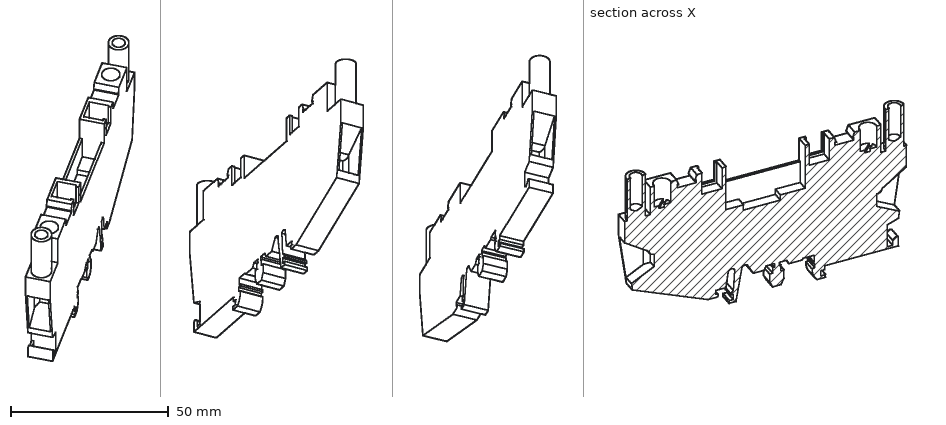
import cadquery as cq
import math


thickness = 8.2
length = 99.4
height = 57.9
half_length = length / 2

shoulder_z = 42.0
tower_outer_y = 40.7
tower_inner_y = 13.9
tower_z = 52.5
middle_z = 44.1
notch_outer_y = 31.3
notch_inner_y = 24.3
notch_floor_z = 49.5
notch_lip_z = 50.4
notch_lip = 0.8
notch_undercut = 0.3
end_slope_top_z = 34.5
end_slope_bottom_z = 15.0
end_slope_bottom_y = 46.9

foot_lip_z = 1.2
foot_notch_z = 3.0
rail_seat_z = 8.9
rail_relief_z = 10.4
stem_neck_z = 9.3
stem_head_z = 7.2
hook_throat_low_z = 5.0
hook_throat_high_z = 6.3
spring_slot_z = 12.9
spring_corner_z = 12.2
base_z = 4.5
fixed_hook_lip_z = 6.5
stem_center_y = -4.0

groove_front_y = -44.7
groove_back_y = -42.9
groove_web = 0.9
deep_groove_z = 5.5
deep_groove_top_z = 8.9

sleeve_y = 45.5
sleeve_diameter = 6.6
sleeve_bore_diameter = 4.1
sleeve_bore_depth = 11.9
bore_tip_depth = 1.2
screw_y = 36.3
screw_hole_diameter = 5.8
screw_hole_depth = 8.0
driver_slot_width = 1.2
driver_slot_depth = 1.0
driver_slot_angle = -45

pocket_width = 6.3
pocket_inner_y = 15.4
pocket_outer_y = 22.4
pocket_depth = 8.0
window_inner_y = 16.1
window_outer_y = 21.9
window_depth = 7.0
channel_depth = 8.0
trough_depth = 9.9
trough_front_y = -5.2
trough_back_y = 7.8

funnel_width = 7.0
funnel_top_z = 33.7
funnel_bottom_z = 17.7
throat_y = 41.2
throat_top_z = 28.0
wire_y = 39.3
wire_width = 4.6
wire_top_z = 26.4
wire_bottom_z = 21.9


def upper_outline(side):
    """Points from the middle of the top to the end slope; side is +1 or -1 along Y."""
    points = [
        (tower_inner_y, middle_z),
        (tower_inner_y, tower_z),
        (notch_inner_y, tower_z),
        (notch_inner_y + notch_lip, notch_lip_z),
        (notch_inner_y + notch_undercut, notch_lip_z),
        (notch_inner_y + notch_undercut, notch_floor_z),
        (notch_outer_y - notch_undercut, notch_floor_z),
        (notch_outer_y - notch_undercut, notch_lip_z),
        (notch_outer_y - notch_lip, notch_lip_z),
        (notch_outer_y, tower_z),
        (tower_outer_y, tower_z),
        (tower_outer_y, shoulder_z),
        (half_length, shoulder_z),
        (half_length, end_slope_top_z),
        (end_slope_bottom_y, end_slope_bottom_z),
    ]
    return [(side * y, z) for y, z in points]


def stem_outline(side):
    """One side of the central foot, from its neck down to its tip."""
    points = [
        (0.9, rail_relief_z),
        (0.9, stem_neck_z),
        (1.5, stem_neck_z),
        (1.5, stem_head_z),
        (2.6, stem_head_z),
        (2.6, 4.0),
        (1.5, 1.8),
    ]
    return [(stem_center_y + side * y, z) for y, z in points]


def body():
    """Side outline extruded through the full thickness."""
    outline = cq.Workplane("YZ").polyline(upper_outline(-1)[::-1] + upper_outline(1))
    outline = outline.lineTo(20.3, 3.6).lineTo(17.3, 3.6)
    outline = outline.threePointArc((16.6, 4.3), (17.3, hook_throat_low_z))
    outline = outline.lineTo(17.5, hook_throat_low_z).lineTo(17.5, hook_throat_high_z)
    outline = outline.lineTo(13.9, hook_throat_high_z).lineTo(13.0, spring_corner_z)
    outline = outline.threePointArc((11.9, spring_slot_z), (10.9, spring_corner_z))
    for point in [
        (11.4, 4.7),
        (12.3, 3.7),
        (12.3, foot_notch_z),
        (11.4, foot_notch_z),
        (11.4, foot_lip_z),
        (12.8, foot_lip_z),
        (12.8, 0),
        (10.3, 0),
        (8.25, spring_corner_z),
    ]:
        outline = outline.lineTo(*point)
    outline = outline.threePointArc((8.0, 12.7), (7.4, spring_slot_z))
    rail_seats = [(6.6, spring_slot_z), (4.3, rail_seat_z), (0.5, rail_seat_z), (-0.4, rail_relief_z)]
    rail_seats += stem_outline(1) + stem_outline(-1)[::-1]
    rail_seats += [(-7.5, rail_relief_z), (-8.25, rail_seat_z), (-12.8, rail_seat_z), (-13.3, 9.5), (-17.0, 9.5)]
    fixed_foot = [
        (-17.0, stem_head_z),
        (-16.4, stem_head_z),
        (-16.4, fixed_hook_lip_z),
        (-17.3, hook_throat_high_z),
        (-17.3, hook_throat_low_z),
        (-16.4, 4.7),
    ]
    for point in rail_seats + fixed_foot:
        outline = outline.lineTo(*point)
    outline = outline.threePointArc((-16.8, 2.0), (-18.2, 0))
    for point in [
        (-21.2, 0),
        (-21.2, foot_lip_z),
        (-19.6, foot_lip_z),
        (-19.6, foot_notch_z),
        (-20.9, foot_notch_z),
        (-20.9, base_z),
        (-46.9, base_z),
        (-46.9, 7.6),
    ]:
        outline = outline.lineTo(*point)
    outline = outline.threePointArc((-46.3, 8.3), (-45.5, 8.2)).lineTo(groove_front_y, 7.4)
    outline = outline.threePointArc((-43.9, 7.2), (groove_back_y, 8.0))
    outline = outline.lineTo(groove_back_y, 13.6).close()
    return outline.extrude(thickness / 2, both=True)


def box(x_range, y_range, z_range):
    """Box spanning the given ranges."""
    sizes = [high - low for low, high in (x_range, y_range, z_range)]
    corner = (x_range[0], y_range[0], z_range[0])
    return cq.Workplane("XY").box(*sizes, centered=False).translate(corner)


def deep_groove():
    """Deeper part of the bead groove, open on the +X side."""
    half_thickness = thickness / 2
    return box(
        (groove_web - half_thickness, half_thickness),
        (groove_front_y, groove_back_y),
        (deep_groove_z, deep_groove_top_z),
    )


def sleeve():
    """Tube standing on the +Y shoulder, with a drill-pointed blind bore."""
    bore_radius = sleeve_bore_diameter / 2
    bore_floor_z = height - sleeve_bore_depth
    wall = [
        (0, shoulder_z),
        (sleeve_diameter / 2, shoulder_z),
        (sleeve_diameter / 2, height),
        (bore_radius, height),
        (bore_radius, bore_floor_z),
        (0, bore_floor_z - bore_tip_depth),
    ]
    tube = cq.Workplane("XZ").polyline(wall).close().revolve(360, (0, 0), (0, 1))
    return tube.translate((0, sleeve_y, 0))


def screw_hole(y):
    """Round well over a screw head, including the driver slot in its floor."""
    floor_z = tower_z - screw_hole_depth
    well = cq.Workplane("XY").workplane(offset=floor_z).circle(screw_hole_diameter / 2)
    well = well.extrude(screw_hole_depth)
    slot = cq.Workplane("XY").workplane(offset=floor_z - driver_slot_depth)
    slot = slot.rect(screw_hole_diameter, driver_slot_width).extrude(driver_slot_depth)
    head = cq.Workplane("XY").workplane(offset=floor_z - driver_slot_depth)
    head = head.circle(screw_hole_diameter / 2).extrude(driver_slot_depth)
    slot = slot.intersect(head).rotate((0, 0, 0), (0, 0, 1), driver_slot_angle)
    return well.union(slot).translate((0, y, 0))


def marker_pocket():
    """Square pocket in the +Y tower, with a window through its +X wall."""
    half_width = pocket_width / 2
    pocket = box(
        (-half_width, half_width), (pocket_inner_y, pocket_outer_y), (tower_z - pocket_depth, tower_z)
    )
    window = box(
        (0, thickness / 2), (window_inner_y, window_outer_y), (tower_z - window_depth, tower_z)
    )
    return pocket.union(window)


def channel():
    """Open channel between the towers, with a deeper trough in its floor."""
    across = (-pocket_width / 2, pocket_width / 2)
    upper = box(across, (-tower_inner_y, tower_inner_y), (middle_z - channel_depth, middle_z))
    trough = box(across, (trough_front_y, trough_back_y), (middle_z - trough_depth, middle_z))
    return upper.union(trough)


def end_slope_y(z):
    """Y of the +Y sloping end face at a given height."""
    drop = (end_slope_top_z - z) / (end_slope_top_z - end_slope_bottom_z)
    return half_length - drop * (half_length - end_slope_bottom_y)


def wire_funnel():
    """Tapered wire entry in the +Y end, narrowing to a square wire seat."""
    mouth_floor_y = end_slope_y(funnel_bottom_z)
    ramp_slope = (wire_bottom_z - funnel_bottom_z) / (mouth_floor_y - wire_y)
    throat_bottom_z = wire_bottom_z - ramp_slope * (throat_y - wire_y)
    mouth = [
        (throat_y, throat_bottom_z),
        (throat_y, throat_top_z),
        (end_slope_y(funnel_top_z), funnel_top_z),
        (half_length, funnel_top_z),
        (half_length, funnel_bottom_z),
        (mouth_floor_y, funnel_bottom_z),
    ]
    entry = cq.Workplane("YZ").polyline(mouth).close().extrude(funnel_width / 2, both=True)
    throat_center_z = (throat_top_z + throat_bottom_z) / 2
    wire_center_z = (wire_top_z + wire_bottom_z) / 2
    throat = cq.Workplane("XZ", origin=(0, throat_y, throat_center_z))
    throat = throat.rect(funnel_width, throat_top_z - throat_bottom_z)
    throat = throat.workplane(offset=throat_y - wire_y).center(0, wire_center_z - throat_center_z)
    throat = throat.rect(wire_width, wire_top_z - wire_bottom_z).loft(ruled=True)
    quarter = math.sin(math.radians(45))
    round_middle = (
        throat_y - (1 - quarter) * (throat_y - wire_y),
        throat_top_z - quarter * (throat_top_z - wire_top_z),
    )
    rounded = cq.Workplane("YZ").moveTo(throat_y, throat_bottom_z).lineTo(throat_y, throat_top_z)
    rounded = rounded.threePointArc(round_middle, (wire_y, wire_top_z))
    rounded = rounded.lineTo(wire_y, throat_bottom_z).close().extrude(funnel_width / 2, both=True)
    throat = throat.intersect(rounded)
    return entry.union(throat)


def both_ends(feature):
    """The feature together with its mirror image at the -Y end."""
    return feature.union(feature.mirror("XZ"))


result = body().union(both_ends(sleeve()))
result = result.cut(both_ends(marker_pocket()))
result = result.cut(both_ends(wire_funnel()))
result = result.cut(channel())
result = result.cut(deep_groove())
for screw_side in (1, -1):
    result = result.cut(screw_hole(screw_side * screw_y))